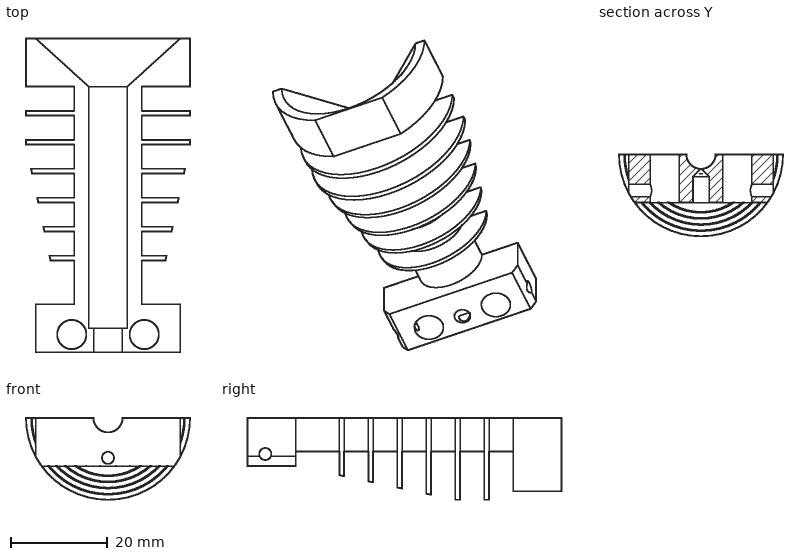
import cadquery as cq
import math

LENGTH = 65.0
OUTER_RADIUS = 17.0
BARREL_RADIUS = 7.0

HEAD_LENGTH = 10.0
HEAD_START = LENGTH - HEAD_LENGTH
HEAD_DEPTH = 15.25
FUNNEL_RADIUS = 15.0

BORE_RADIUS = 4.0
OUTLET_RADIUS = 3.0
OUTLET_LENGTH = 5.0

BLOCK_LENGTH = 10.0
BLOCK_WIDTH = 30.0
BLOCK_DEPTH = 10.0

FIN_COUNT = 6
FIN_THICKNESS = 1.0
FIN_PITCH = 6.0
FIRST_FIN_START = HEAD_START - FIN_PITCH
TAPER_START = FIRST_FIN_START - FIN_PITCH
TAPER_END = BLOCK_LENGTH
TAPER_END_RADIUS = 10.0

HOLE_ROW = 3.7
BOLT_DIAMETER = 6.0
BOLT_OFFSET = 7.5
PIN_DIAMETER = 2.5
FRONT_PIN_HEIGHT = -8.3
SIDE_PIN_HEIGHT = -7.5
UNDERSIDE_DIAMETER = 3.3
DRILL_POINT_ANGLE = 90.0


def rod(radius, start, end):
    """Full cylinder about the Y axis between two Y positions."""
    plane = cq.Workplane("XZ", origin=(0, start, 0))
    return plane.circle(radius).extrude(start - end)


def cone(start_radius, end_radius, start, end):
    """Full truncated cone about the Y axis between two Y positions."""
    profile = [(0, start), (start_radius, start), (end_radius, end), (0, end)]
    return cq.Workplane("XY").polyline(profile).close().revolve(360, (0, 0, 0), (0, 1, 0))


def slab(width, start, end, depth):
    """Box below the split face, centred on X."""
    base = cq.Workplane("XY", origin=(0, (start + end) / 2, 0))
    return base.rect(width, end - start).extrude(-depth)


def make_head():
    head = rod(OUTER_RADIUS, HEAD_START, LENGTH)
    return head.intersect(slab(2 * OUTER_RADIUS, HEAD_START, LENGTH, HEAD_DEPTH))


def make_block():
    block = slab(BLOCK_WIDTH, 0, BLOCK_LENGTH, BLOCK_DEPTH)
    return block.intersect(rod(OUTER_RADIUS, 0, BLOCK_LENGTH))


def make_fins():
    envelope = rod(OUTER_RADIUS, TAPER_START, HEAD_START).union(
        cone(TAPER_END_RADIUS, OUTER_RADIUS, TAPER_END, TAPER_START)
    )
    discs = cq.Workplane("XY")
    for index in range(FIN_COUNT):
        start = FIRST_FIN_START - index * FIN_PITCH
        discs = discs.union(rod(OUTER_RADIUS, start, start + FIN_THICKNESS))
    return discs.intersect(envelope)


def make_bore():
    outlet = rod(OUTLET_RADIUS, 0, OUTLET_LENGTH)
    main_bore = rod(BORE_RADIUS, OUTLET_LENGTH, HEAD_START)
    funnel = cone(BORE_RADIUS, FUNNEL_RADIUS, HEAD_START, LENGTH)
    return outlet.union(main_bore).union(funnel)


def make_bolt_holes():
    centres = [(-BOLT_OFFSET, HOLE_ROW), (BOLT_OFFSET, HOLE_ROW)]
    plane = cq.Workplane("XY").pushPoints(centres)
    return plane.circle(BOLT_DIAMETER / 2).extrude(-BLOCK_DEPTH)


def make_side_pin_holes():
    """Cross holes from each side face into the bolt holes."""
    length = BLOCK_WIDTH / 2 - BOLT_OFFSET
    plane = cq.Workplane("YZ", origin=(-BLOCK_WIDTH / 2, HOLE_ROW, SIDE_PIN_HEIGHT))
    hole = plane.circle(PIN_DIAMETER / 2).extrude(length)
    return hole.union(hole.mirror("YZ"))


def make_underside_hole():
    """Blind hole from below whose drill point ends at the outlet wall."""
    radius = UNDERSIDE_DIAMETER / 2
    tip = -OUTLET_RADIUS
    shoulder = tip - radius / math.tan(math.radians(DRILL_POINT_ANGLE / 2))
    profile = [(0, -BLOCK_DEPTH), (radius, -BLOCK_DEPTH), (radius, shoulder), (0, tip)]
    hole = cq.Workplane("XZ").polyline(profile).close().revolve(360, (0, 0, 0), (0, 1, 0))
    return hole.translate((0, HOLE_ROW, 0))


def make_front_pin_hole():
    """Hole from the near end face into the underside hole."""
    plane = cq.Workplane("XZ", origin=(0, 0, FRONT_PIN_HEIGHT))
    return plane.circle(PIN_DIAMETER / 2).extrude(-HOLE_ROW)


barrel = rod(BARREL_RADIUS, 0, LENGTH)
body = barrel.union(make_fins()).intersect(slab(2 * OUTER_RADIUS, 0, LENGTH, OUTER_RADIUS))
body = body.union(make_head()).union(make_block())

body = body.cut(make_bore()).cut(make_bolt_holes()).cut(make_side_pin_holes())
result = body.cut(make_underside_hole()).cut(make_front_pin_hole())